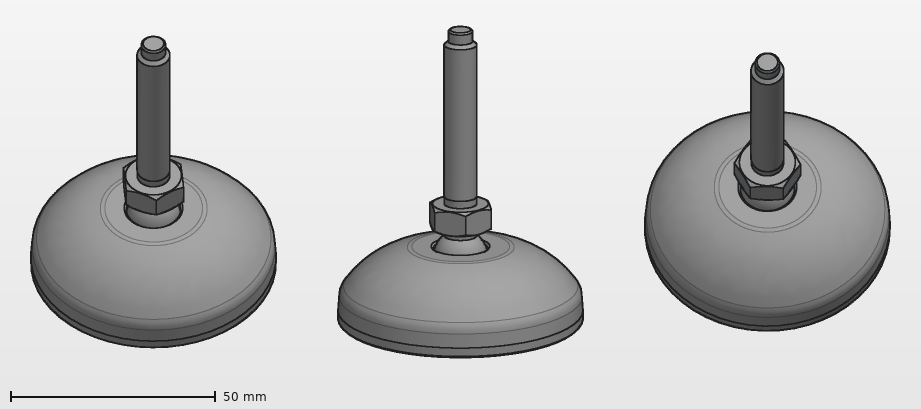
import cadquery as cq
import math

total_height = 74.7
base_diameter = 60.0
base_radius = base_diameter / 2

pad_height = 2.6
pad_chamfer = 0.45

foot_top = 19.0
wall_top = 6.2
wall_top_radius = 29.7
fillet_middle = 7.6
fillet_middle_radius = 29.4
dome_bottom = 8.8
dome_bottom_radius = 28.7
dome_middle = 14.9
dome_middle_radius = 22.5
dome_top_radius = 13.1
flat_radius = 11.95
dome_top = 18.8
socket_chamfer = 0.5

ball_radius = 13.3 / 2
ball_center = 16.4
stem_radius = 8.0 / 2
thread_radius = 8.1 / 2
thread_start = 31.8
thread_end = 71.7
thread_chamfer = 0.9
tip_radius = 6.0 / 2
tip_chamfer = 0.45

hex_flats = 14.05
hex_corner_radius = hex_flats / 2 / math.cos(math.pi / 6)
hex_bottom = 23.7
hex_top = 29.95
hex_face_radius = 13.7 / 2
hex_chamfer_angle = math.radians(30)


def revolve_profile(profile):
    """Turn a closed (radius, height) profile about the Z axis."""
    return profile.close().revolve(360, (0, 0, 0), (0, 1, 0))


def make_pad():
    pad = cq.Workplane("XY").circle(base_radius).extrude(pad_height)
    return pad.faces("<Z").edges().chamfer(pad_chamfer)


def make_foot():
    dome = revolve_profile(
        cq.Workplane("XZ")
        .moveTo(0, pad_height)
        .lineTo(base_radius, pad_height)
        .lineTo(wall_top_radius, wall_top)
        .threePointArc((fillet_middle_radius, fillet_middle), (dome_bottom_radius, dome_bottom))
        .threePointArc((dome_middle_radius, dome_middle), (dome_top_radius, dome_top))
        .lineTo(flat_radius, foot_top)
        .lineTo(0, foot_top)
    )
    arc_offset = ball_radius * math.sqrt(0.5)
    socket = revolve_profile(
        cq.Workplane("XZ")
        .moveTo(0, ball_center - ball_radius)
        .threePointArc((arc_offset, ball_center - arc_offset), (ball_radius, ball_center))
        .lineTo(ball_radius, foot_top - socket_chamfer)
        .lineTo(ball_radius + socket_chamfer, foot_top)
        .lineTo(0, foot_top)
    )
    return dome.cut(socket)


def make_hexagon():
    height = hex_top - hex_bottom
    prism = (
        cq.Workplane("XY", origin=(0, 0, hex_bottom))
        .polygon(6, 2 * hex_corner_radius)
        .extrude(height)
        .rotate((0, 0, 0), (0, 0, 1), 30)
    )
    corner_drop = (hex_corner_radius - hex_face_radius) * math.tan(hex_chamfer_angle)
    envelope = revolve_profile(
        cq.Workplane("XZ")
        .moveTo(0, hex_bottom)
        .lineTo(hex_face_radius, hex_bottom)
        .lineTo(hex_corner_radius, hex_bottom + corner_drop)
        .lineTo(hex_corner_radius, hex_top - corner_drop)
        .lineTo(hex_face_radius, hex_top)
        .lineTo(0, hex_top)
    )
    return prism.intersect(envelope)


def make_stem():
    ball_top = ball_center + math.sqrt(ball_radius**2 - stem_radius**2)
    turned = revolve_profile(
        cq.Workplane("XZ")
        .moveTo(0, ball_center - ball_radius)
        .threePointArc((ball_radius, ball_center), (stem_radius, ball_top))
        .lineTo(stem_radius, thread_start)
        .lineTo(thread_radius, thread_start)
        .lineTo(thread_radius, thread_end - thread_chamfer)
        .lineTo(tip_radius, thread_end)
        .lineTo(tip_radius, total_height - tip_chamfer)
        .lineTo(tip_radius - tip_chamfer, total_height)
        .lineTo(0, total_height)
    )
    return turned.union(make_hexagon())


pad = make_pad()
foot = make_foot()
stem = make_stem()

result = cq.Compound.makeCompound([pad.val(), foot.val(), stem.val()])